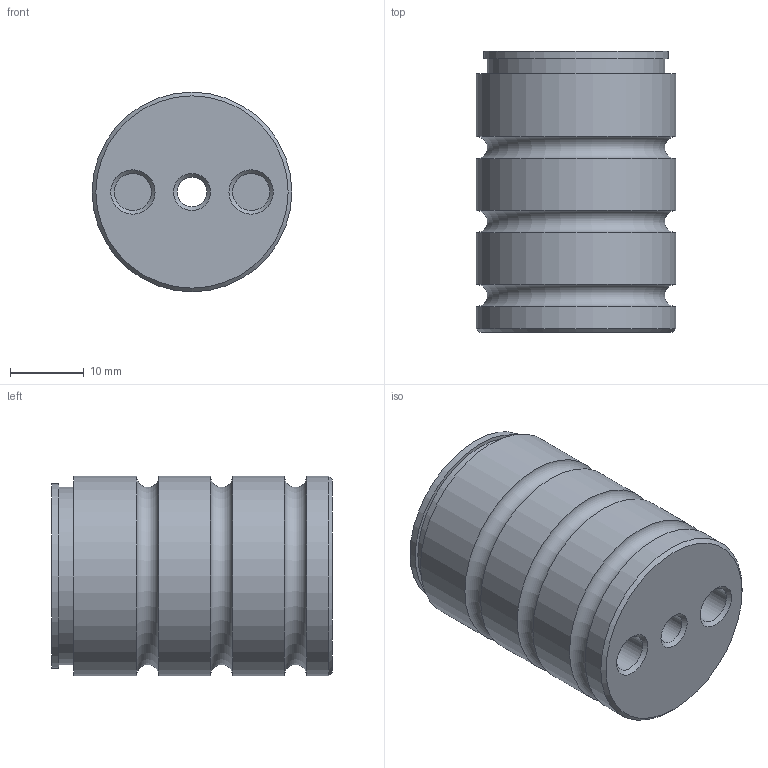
import cadquery as cq

body_diameter = 27.0
body_length = 35.0
front_chamfer = 0.5

neck_diameter = 24.0
neck_length = 2.0
flange_diameter = 25.0
flange_length = 1.0
total_length = body_length + neck_length + flange_length

groove_radius = 1.5
first_groove_y = 5.0
groove_pitch = 10.0
groove_count = 3

center_hole_diameter = 4.0
side_hole_diameter = 5.0
side_hole_depth = 10.0
side_hole_offset = 8.0
hole_chamfer = 0.5


def cylinder_along_y(diameter, start_y, length):
    """Solid cylinder centred on the Y axis."""
    plane = cq.Workplane("XZ", origin=(0, start_y, 0))
    return plane.circle(diameter / 2).extrude(-length)


def make_body():
    """Turned blank: chamfered body, neck and flange."""
    body = cylinder_along_y(body_diameter, 0, body_length).faces("<Y").chamfer(front_chamfer)
    neck = cylinder_along_y(neck_diameter, body_length, neck_length)
    flange = cylinder_along_y(flange_diameter, body_length + neck_length, flange_length)
    return body.union(neck).union(flange)


def groove_cutter(center_y):
    """Ring of round section, centred on the body surface."""
    section = cq.Workplane("XY").center(body_diameter / 2, center_y).circle(groove_radius)
    return section.revolve(360, (-body_diameter / 2, 0), (-body_diameter / 2, 1))


def hole_cutter(diameter, depth, center_x):
    """Flat-ended hole from the front face with a chamfered mouth."""
    radius = diameter / 2
    mouth_radius = radius + hole_chamfer
    half_profile = (
        cq.Workplane("XY")
        .polyline([(0, 0), (mouth_radius, 0), (radius, hole_chamfer), (radius, depth), (0, depth)])
        .close()
    )
    return half_profile.revolve(360, (0, 0), (0, 1)).translate((center_x, 0, 0))


result = make_body()

for index in range(groove_count):
    result = result.cut(groove_cutter(first_groove_y + index * groove_pitch))

result = result.cut(hole_cutter(center_hole_diameter, total_length, 0))

for side in (-1, 1):
    result = result.cut(hole_cutter(side_hole_diameter, side_hole_depth, side * side_hole_offset))